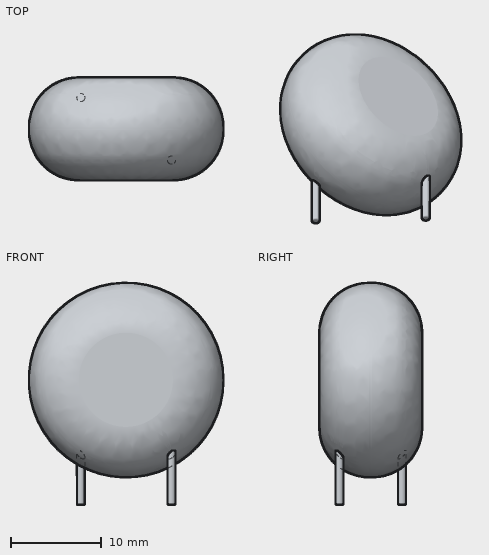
import cadquery as cq

body_diameter = 21.5
body_thickness = 11.4
rim_band_width = 0.285
rim_radius = (body_thickness - rim_band_width) / 2

lead_diameter = 0.9
lead_spacing_x = 10.0
lead_spacing_y = 6.9
lead_length_below_seat = 3.0
lead_tip_fillet = 0.2

body_standoff = 0.03
body_center_z = body_standoff + body_diameter / 2


def make_body():
    """Upright disc, axis along Y, with both rim edges rounded."""
    disc = (
        cq.Workplane("XZ", origin=(0, body_thickness / 2, body_center_z))
        .circle(body_diameter / 2)
        .extrude(body_thickness)
    )
    return disc.edges("%CIRCLE").fillet(rim_radius)


def make_lead(x, y):
    """Vertical round lead with a rounded tip, ending inside the body."""
    lead_bottom = -lead_length_below_seat
    lead = (
        cq.Workplane("XY", origin=(x, y, lead_bottom))
        .circle(lead_diameter / 2)
        .extrude(body_center_z - lead_bottom)
    )
    return lead.faces("<Z").edges().fillet(lead_tip_fillet)


result = make_body()
for side in (-1, 1):
    lead = make_lead(side * lead_spacing_x / 2, -side * lead_spacing_y / 2)
    result = result.union(lead)